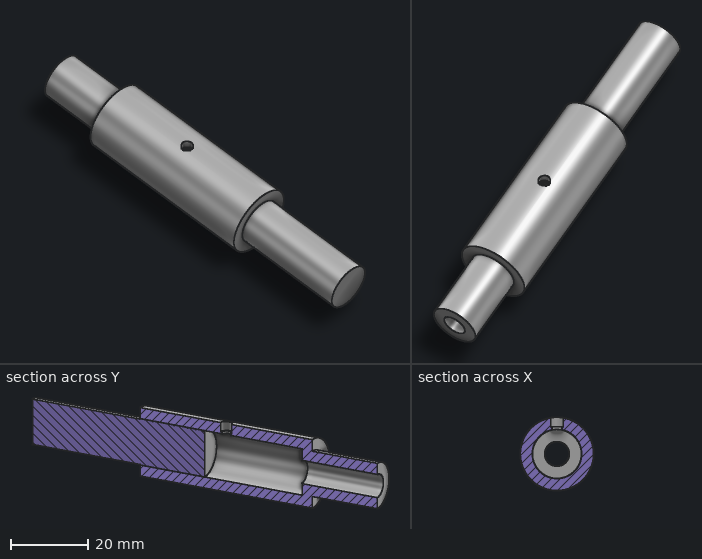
import cadquery as cq

TOTAL_LENGTH = 101.6

BARREL_LENGTH = 50.8
BARREL_DIAMETER = 19.1
STUB_LENGTH = 19.1
STUB_DIAMETER = 12.7
STUB_BORE_DIAMETER = 6.3
BARREL_END = STUB_LENGTH + BARREL_LENGTH

ROD_DIAMETER = 12.7
ROD_LENGTH = 50.8
ROD_START = TOTAL_LENGTH - ROD_LENGTH

CHAMBER_DIAMETER = ROD_DIAMETER
BARREL_WALL = (BARREL_DIAMETER - CHAMBER_DIAMETER) / 2
CHAMBER_START = STUB_LENGTH + BARREL_WALL

PORT_X = STUB_LENGTH + BARREL_LENGTH / 2
PORT_DIAMETER = 2.5
PORT_COUNTERBORE_DIAMETER = 3.1
PORT_COUNTERBORE_DEPTH = 2.5


def cylinder_along_x(start, end, diameter):
    """Solid cylinder on the X axis between two X positions."""
    return cq.Workplane("YZ", origin=(start, 0, 0)).circle(diameter / 2).extrude(end - start)


def hole_from_top(depth, diameter):
    """Cutter for a vertical hole, with its depth measured from the top of the barrel."""
    top = BARREL_DIAMETER / 2
    return cq.Workplane("XY", origin=(PORT_X, 0, top)).circle(diameter / 2).extrude(-depth)


def make_housing():
    stub = cylinder_along_x(0, STUB_LENGTH, STUB_DIAMETER)
    barrel = cylinder_along_x(STUB_LENGTH, BARREL_END, BARREL_DIAMETER)
    stub_bore = cylinder_along_x(0, CHAMBER_START, STUB_BORE_DIAMETER)
    chamber = cylinder_along_x(CHAMBER_START, BARREL_END, CHAMBER_DIAMETER)
    port = hole_from_top(BARREL_DIAMETER / 2, PORT_DIAMETER)
    counterbore = hole_from_top(PORT_COUNTERBORE_DEPTH, PORT_COUNTERBORE_DIAMETER)
    return barrel.union(stub).cut(stub_bore).cut(chamber).cut(port).cut(counterbore)


def make_rod():
    return cylinder_along_x(ROD_START, TOTAL_LENGTH, ROD_DIAMETER)


housing = make_housing()
rod = make_rod()
result = cq.Compound.makeCompound([housing.val(), rod.val()])